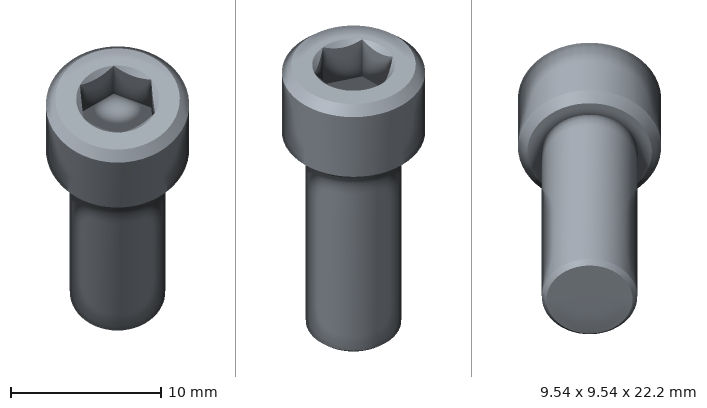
import cadquery as cq
import math

total_length = 22.23
head_diameter = 9.54
head_height = 6.35
shank_diameter = 6.35

head_chamfer = 0.62
tip_chamfer = 0.31

socket_across_flats = 4.75
socket_depth = 3.18
lead_in_angle = 45.0

head_radius = head_diameter / 2
shank_radius = shank_diameter / 2
head_bottom = total_length - head_height
socket_across_corners = socket_across_flats / math.cos(math.radians(30))


def make_body():
    """Revolve the half profile of the head and shank about Z."""
    return (
        cq.Workplane("XZ")
        .moveTo(0, 0)
        .lineTo(shank_radius - tip_chamfer, 0)
        .lineTo(shank_radius, tip_chamfer)
        .lineTo(shank_radius, head_bottom)
        .lineTo(head_radius - head_chamfer, head_bottom)
        .lineTo(head_radius, head_bottom + head_chamfer)
        .lineTo(head_radius, total_length - head_chamfer)
        .lineTo(head_radius - head_chamfer, total_length)
        .lineTo(0, total_length)
        .close()
        .revolve(360, (0, 0), (0, 1))
    )


def make_hex_socket():
    """Hexagonal prism with two corners on the Y axis."""
    return (
        cq.Workplane("XY")
        .workplane(offset=total_length - socket_depth)
        .transformed(rotate=(0, 0, 90))
        .polygon(6, socket_across_corners)
        .extrude(socket_depth)
    )


def make_lead_in():
    """Cone that narrows downwards from the hexagon corners to a point."""
    mouth_radius = socket_across_corners / 2
    cone_depth = mouth_radius * math.tan(math.radians(lead_in_angle))
    return (
        cq.Workplane("XZ")
        .moveTo(0, total_length)
        .lineTo(mouth_radius, total_length)
        .lineTo(0, total_length - cone_depth)
        .close()
        .revolve(360, (0, 0), (0, 1))
    )


result = make_body().cut(make_hex_socket()).cut(make_lead_in())